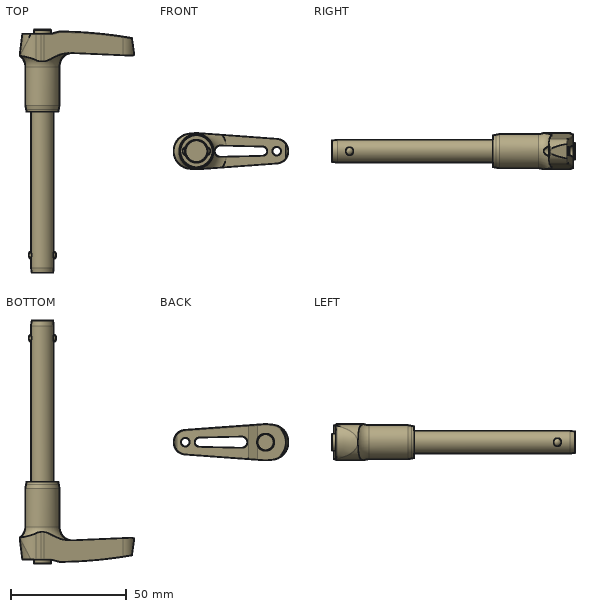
import cadquery as cq
import math


shank_radius = 5.0
shank_length = 69.75
tip_chamfer_length = 2.3
tip_chamfer_depth = 0.33
ball_radius = 1.85
ball_reach = 6.0
ball_distance_from_tip = 7.7

sleeve_radius = 7.45
collar_radius = 6.9
collar_top_radius = 7.15
collar_height = 1.2
sleeve_start = 2.8
flare_start = 19.55
flare_radius = 5.85

head_top = 33.82
head_half_width = 7.91
head_end_offset = 2.2
head_end_radius = 7.7
cone_top_radius = 8.75
cone_base_radius = 9.88
cone_base = 24.6

arm_reach = 39.82
arm_tip_radius = 5.4
arm_underside_start = 25.95
arm_underside_slope = 0.044
arm_rise_start = 3.6
arm_crest_x = 7.5
arm_crest = 34.85
arm_middle_x = 24.5
arm_middle = 33.92
arm_end_top_x = 38.8
arm_end_top = 31.95
arm_tip_bevel_length = 1.1
arm_tip_bevel_height = 0.4

rim_fillet = 0.35

slot_start = 7.95
slot_end = 30.6
slot_start_radius = 2.38
slot_end_radius = 1.95
lanyard_hole_x = 34.75
lanyard_hole_radius = 1.82

button_radius = 3.75
button_top = 35.65
button_chamfer = 0.3


def prism_along_y(sketch):
    """Extrude an outline drawn in X and Z through the whole part."""
    return sketch.extrude(button_top + shank_length)


def outline_plane():
    """Plane with local X = X and local Y = Z, extruding toward -Y from above the button."""
    return cq.Workplane("XZ", origin=(0, button_top, 0))


def tangent_hull(first_x, first_radius, second_x, second_radius):
    """Outline of two circles on the X axis joined by their outer tangent lines."""
    lean = math.asin((first_radius - second_radius) / (second_x - first_x))
    sine = math.sin(lean)
    cosine = math.cos(lean)
    first = (first_x + first_radius * sine, first_radius * cosine)
    second = (second_x + second_radius * sine, second_radius * cosine)
    return (
        outline_plane()
        .moveTo(*first)
        .lineTo(*second)
        .threePointArc((second_x + second_radius, 0), (second[0], -second[1]))
        .lineTo(first[0], -first[1])
        .threePointArc((first_x - first_radius, 0), first)
        .close()
    )


def make_handle_outline():
    """Rounded head with straight flanks narrowing to the round arm tip."""
    tip_center = arm_reach - arm_tip_radius
    arm = prism_along_y(tangent_hull(0, head_half_width, tip_center, arm_tip_radius))
    head = prism_along_y(tangent_hull(-head_end_offset, head_end_radius, 0, head_half_width))
    return arm.union(head)


def make_head():
    """Turned sleeve, flaring out to the handle; its free side is a cone."""
    flare_end_radius = sleeve_radius + flare_radius
    flare_end = flare_start + flare_radius
    arc_inset = flare_radius * math.sqrt(0.5)
    turned = (
        cq.Workplane("XY")
        .lineTo(collar_radius, 0)
        .lineTo(collar_top_radius, collar_height)
        .lineTo(sleeve_radius, sleeve_start)
        .lineTo(sleeve_radius, flare_start)
        .threePointArc(
            (flare_end_radius - arc_inset, flare_start + arc_inset),
            (flare_end_radius, flare_end),
        )
        .lineTo(flare_end_radius, head_top)
        .lineTo(0, head_top)
        .close()
        .revolve(360, (0, 0, 0), (0, 1, 0))
    )
    cone = (
        cq.Workplane("XY")
        .lineTo(cone_base_radius, 0)
        .lineTo(cone_base_radius, cone_base)
        .lineTo(cone_top_radius, head_top)
        .lineTo(0, head_top)
        .close()
        .revolve(360, (0, 0, 0), (0, 1, 0))
    )
    arm_side = cq.Workplane("XY").box(arm_reach, head_top, 2 * arm_reach, centered=(False, False, True))
    return turned.intersect(cone.union(arm_side))


def make_arm():
    """Arm with a slightly sloping underside, a small bevel under the tip and a crowned top."""
    bevel_start = arm_reach - arm_tip_bevel_length
    bevel_bottom = arm_underside_start - arm_underside_slope * bevel_start
    return (
        cq.Workplane("XY")
        .moveTo(0, arm_underside_start)
        .lineTo(bevel_start, bevel_bottom)
        .lineTo(arm_reach, bevel_bottom + arm_tip_bevel_height)
        .lineTo(arm_end_top_x, arm_end_top)
        .threePointArc((arm_middle_x, arm_middle), (arm_crest_x, arm_crest))
        .lineTo(arm_rise_start, head_top)
        .lineTo(0, head_top)
        .close()
        .extrude(head_half_width, both=True)
    )


def make_arm_openings():
    """Tapered slot and the lanyard hole behind it."""
    slot = prism_along_y(
        tangent_hull(
            slot_start + slot_start_radius,
            slot_start_radius,
            slot_end - slot_end_radius,
            slot_end_radius,
        )
    )
    hole = prism_along_y(outline_plane().center(lanyard_hole_x, 0).circle(lanyard_hole_radius))
    return slot.union(hole)


def make_shank():
    """Plain shank with a long, slight taper at the tip and two locking balls."""
    shank = (
        cq.Workplane("XY")
        .moveTo(0, head_top)
        .lineTo(shank_radius, head_top)
        .lineTo(shank_radius, tip_chamfer_length - shank_length)
        .lineTo(shank_radius - tip_chamfer_depth, -shank_length)
        .lineTo(0, -shank_length)
        .close()
        .revolve(360, (0, 0, 0), (0, 1, 0))
    )
    ball_x = ball_reach - ball_radius
    ball_y = ball_distance_from_tip - shank_length
    for side in (-1, 1):
        shank = shank.union(cq.Workplane("XY").sphere(ball_radius).translate((side * ball_x, ball_y, 0)))
    return shank


def make_button():
    """Release button standing out of the head."""
    return (
        outline_plane()
        .circle(button_radius)
        .extrude(button_top - cone_base)
        .faces(">Y")
        .chamfer(button_chamfer)
    )


def round_top_rim(handle):
    """Round the top rim, leaving out the straight lines that cross the top face."""
    tolerance = 0.01
    rim_bottom = arm_end_top - tolerance
    above_arm_end = cq.selectors.BoxSelector(
        (-2 * arm_reach, rim_bottom, -arm_reach),
        (2 * arm_reach, button_top, arm_reach),
        boundingbox=True,
    )
    rim = handle.edges(above_arm_end).edges("not(|Y or |Z)")
    tip_edge = handle.edges(above_arm_end).edges("|Z").edges(">X")
    return rim.add(tip_edge).fillet(rim_fillet)


handle = make_head().union(make_arm()).intersect(make_handle_outline())
handle = round_top_rim(handle)
handle = handle.cut(make_arm_openings())
result = handle.union(make_shank()).union(make_button())